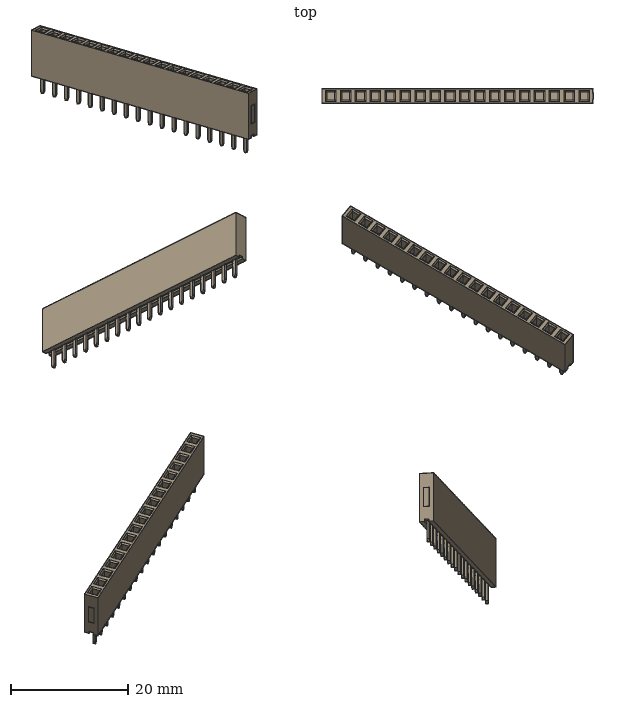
import cadquery as cq

overall_length = 46.25
overall_height = 11.7
body_width = 2.5
body_height = 8.5

pad_thickness = 0.1
pad_width = 1.0
pad_height = 3.35
pad_base = 2.65

contact_count = 18
end_margin = 1.5

entry_size = 1.8
socket_size = 1.3
socket_depth = 6.0

groove_width = 0.75
groove_depth = 0.4

pin_width = 0.65
pin_thickness = 0.4
pin_tip_width = 0.3
pin_tip_length = 0.45

body_length = overall_length - pad_thickness
entry_depth = (entry_size - socket_size) / 2
pin_length = overall_height - body_height
first_contact_x = end_margin - body_length / 2
pitch = (body_length - 2 * end_margin) / (contact_count - 1)
contact_points = [(first_contact_x + i * pitch, 0) for i in range(contact_count)]


def make_body():
    """Plain block with its underside at Z = 0, centred on X and Y."""
    return cq.Workplane("XY").box(body_length, body_width, body_height, centered=(True, True, False))


def make_pad():
    """Thin raised pad on the +X end face."""
    return (
        cq.Workplane("XY")
        .box(pad_thickness, pad_width, pad_height, centered=(False, True, False))
        .translate((body_length / 2, 0, pad_base))
    )


def make_groove():
    """Cutter for the shallow groove running the full length of the underside."""
    return cq.Workplane("XY").box(body_length, groove_width, groove_depth, centered=(True, True, False))


def make_socket():
    """Cutter for one socket: a tapered entry above a straight square hole."""
    entry = (
        cq.Workplane("XY", origin=(0, 0, body_height))
        .rect(entry_size, entry_size)
        .workplane(offset=-entry_depth)
        .rect(socket_size, socket_size)
        .loft(ruled=True)
    )
    hole = (
        cq.Workplane("XY", origin=(0, 0, body_height - socket_depth))
        .rect(socket_size, socket_size)
        .extrude(socket_depth - entry_depth)
    )
    return entry.union(hole)


def make_pin():
    """One flat pin, from the roof of the groove down to its narrowed tip."""
    shoulder_z = pin_tip_length - pin_length
    return (
        cq.Workplane("XZ")
        .moveTo(-pin_width / 2, groove_depth)
        .lineTo(-pin_width / 2, shoulder_z)
        .lineTo(-pin_tip_width / 2, -pin_length)
        .lineTo(pin_tip_width / 2, -pin_length)
        .lineTo(pin_width / 2, shoulder_z)
        .lineTo(pin_width / 2, groove_depth)
        .close()
        .extrude(pin_thickness / 2, both=True)
    )


def at_contacts(shape):
    """Copies of a shape at every contact position."""
    solid = shape.val()
    return cq.Workplane("XY").pushPoints(contact_points).eachpoint(lambda place: solid.moved(place))


result = (
    make_body()
    .union(make_pad())
    .cut(make_groove())
    .cut(at_contacts(make_socket()))
    .union(at_contacts(make_pin()))
)